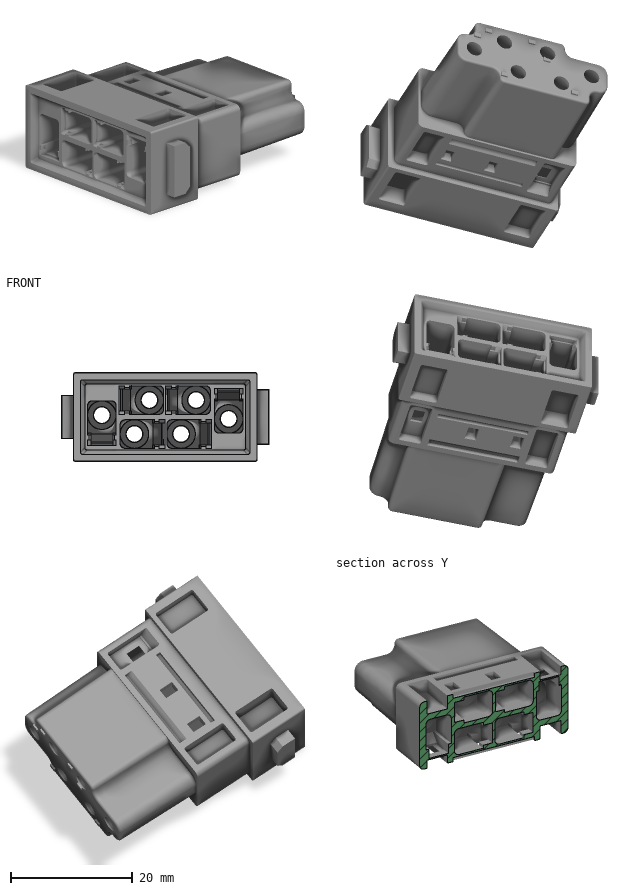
import cadquery as cq

recess_depth = 1.03
collar_end = 10.6
body_end = 21.12
rear_end = 36.5
total_depth = 36.8
pocket_end = 18.4
bore_end = 33.85

collar_width = 30.25
collar_height = 14.6
collar_round = 0.33
body_width = 28.2
body_height = 12.55
body_round = 0.92

key_span = 34.2
key_start = 3.45
key_end = 7.03
key_chamfer = 1.05
left_key_height = 7.1
right_key_height = 9.0

shroud_half_height = 5.65
shroud_draft = 1.0
shroud_edge_round = 0.35
crest_left = -5.0
crest_right = 9.42
crest_radius = 0.77
cove_radius = 1.5
shoulder_radius = 1.65
left_shoulder_z = 3.28
right_shoulder_z = 2.58
shroud_half_width = crest_right + crest_radius + cove_radius + shoulder_radius

recess_width = 27.9
recess_height = 12.3
recess_slope = 0.7
recess_corner_round = 0.45

cell_half = 2.35
cell_corner_round = 0.8
cell_latch_side = 3.28
cell_latch_side_deep = 2.95
contact_bore_radius = 2.35
contact_hole_radius = 1.35
latch_neck_end = 4.1
latch_neck_half = 2.1
latch_slot_end = 4.75
latch_slot_half = 1.8
latch_head_end = 5.0
latch_head_depth = 0.8
latch_ramp_foot = 4.45
latch_ramp_tip = 3.1
row_height = 2.8
row_near = 2.6
row_far = 5.08
side_cell_x = 10.45
side_cell_z = 0.313

relief_inner = 8.85
collar_relief_outer = 13.47
collar_relief_start = 2.17
collar_relief_end = 9.8
body_relief_outer = 12.65
body_relief_start = 12.15
body_relief_end = 20.13
relief_round = 0.35
left_collar_relief_depth = 3.4
right_collar_relief_depth = 1.88
left_body_relief_depth = 2.43
right_body_relief_depth = 1.73
relief_ramp = 1.05
relief_ledge_end = 13.55
relief_ledge_rise = 0.22
groove_length = 15.4
groove_depth = 0.75
front_groove_start = 12.95
front_groove_end = 13.75
rear_groove_start = 18.73
rear_groove_end = 20.13
rear_groove_slope = 0.85
window_width = 1.85
window_start = 14.57
window_end = 17.08
window_floor = 3.68
window_centres = [-6.48, 1.2, 10.45]

mark_width = 1.18
mark_height = 0.75
mark_centres = [(-7.4, -4.25), (-2.43, 1.25), (0.25, 4.15), (5.15, -4.25), (8.0, 4.15), (9.97, 2.6)]


def box(x0, x1, y0, y1, z0, z1):
    return cq.Workplane("XY").box(x1 - x0, y1 - y0, z1 - z0, centered=False).translate((x0, y0, z0))


def centred_block(width, y0, y1, height):
    return box(-width / 2, width / 2, y0, y1, -height / 2, height / 2)


def face_plane(y):
    """Sketch plane facing -Y; extruding by a negative length goes toward the rear."""
    return cq.Workplane("XZ", origin=(0, y, 0))


def half_turn(shape):
    return shape.rotate((0, 0, 0), (0, 1, 0), 180)


def key(side, height):
    profile = (
        cq.Workplane("YZ")
        .rect(key_end - key_start, height)
        .extrude(key_span / 2)
        .faces(">Y")
        .edges("|X")
        .chamfer(key_chamfer)
        .translate((0, (key_start + key_end) / 2, 0))
    )
    return profile if side > 0 else profile.mirror("YZ")


def upper_shroud_path(path, turn):
    """Draw the upper half outline from -X to +X; turn=-1 draws it turned half round."""

    def line(path, x, z):
        return path.lineTo(turn * x, turn * z)

    def convex(path, x, z, radius):
        return path.radiusArc((turn * x, turn * z), radius)

    def concave(path, x, z, radius):
        return path.radiusArc((turn * x, turn * z), -radius)

    left_wall = crest_left - crest_radius
    right_wall = crest_right + crest_radius
    crest_start_z = shroud_half_height - crest_radius
    shoulder_x = shroud_half_width - shoulder_radius

    path = line(path, -shroud_half_width, left_shoulder_z - shoulder_radius)
    path = convex(path, -shoulder_x, left_shoulder_z, shoulder_radius)
    path = line(path, left_wall - cove_radius, left_shoulder_z)
    path = concave(path, left_wall, left_shoulder_z + cove_radius, cove_radius)
    path = line(path, left_wall, crest_start_z)
    path = convex(path, crest_left, shroud_half_height, crest_radius)
    path = line(path, crest_right, shroud_half_height)
    path = convex(path, right_wall, crest_start_z, crest_radius)
    path = line(path, right_wall, right_shoulder_z + cove_radius)
    path = concave(path, shoulder_x, right_shoulder_z, cove_radius)
    return convex(path, shroud_half_width, right_shoulder_z - shoulder_radius, shoulder_radius)


def shroud():
    path = face_plane(rear_end).moveTo(-shroud_half_width, shoulder_radius - right_shoulder_z)
    path = upper_shroud_path(path, 1)
    path = upper_shroud_path(path, -1)
    solid = path.close().extrude(rear_end - body_end, taper=-shroud_draft)
    return solid.faces(">Y").edges().fillet(shroud_edge_round)


def mating_recess():
    recess = (
        face_plane(0)
        .rect(recess_width, recess_height)
        .workplane(offset=-recess_depth)
        .rect(recess_width - 2 * recess_slope, recess_height - 2 * recess_slope)
        .loft()
    )
    return recess.edges("not #Y").fillet(recess_corner_round)


def cell(x, z, turn):
    """Contact cell with its latch slot toward -X, turned about its bore axis."""
    pocket = (
        cq.Workplane("XY")
        .moveTo(cell_half, recess_depth)
        .lineTo(-cell_latch_side, recess_depth)
        .lineTo(-cell_latch_side_deep, pocket_end)
        .lineTo(cell_half, pocket_end)
        .close()
        .extrude(cell_half, both=True)
        .edges("|Y and >X")
        .fillet(cell_corner_round)
    )
    neck = box(
        -latch_neck_end, -cell_latch_side, recess_depth, latch_head_depth + recess_depth,
        -latch_neck_half, latch_neck_half,
    )
    head = (
        face_plane(recess_depth)
        .center(-(latch_neck_end + latch_head_end) / 2, 0)
        .rect(latch_head_end - latch_neck_end, 2 * cell_half)
        .workplane(offset=-latch_head_depth)
        .rect(latch_head_end - latch_neck_end, 2 * latch_slot_half)
        .loft()
    )
    latch_slot = (
        cq.Workplane("XY")
        .moveTo(0, recess_depth)
        .lineTo(-latch_slot_end, recess_depth)
        .lineTo(-latch_slot_end, window_end)
        .lineTo(-latch_ramp_foot, window_end)
        .lineTo(-latch_ramp_tip, pocket_end)
        .lineTo(0, pocket_end)
        .close()
        .extrude(latch_slot_half, both=True)
    )
    bore = face_plane(recess_depth).circle(contact_bore_radius).extrude(recess_depth - bore_end)
    hole = face_plane(recess_depth).circle(contact_hole_radius).extrude(recess_depth - total_depth)
    cutter = pocket.union(neck).union(head).union(latch_slot).union(bore).union(hole)
    return cutter.rotate((0, 0, 0), (0, 1, 0), turn).translate((x, 0, z))


def relief(x0, x1, y0, y1, top, depth):
    return box(x0, x1, y0, y1, top - depth, top).edges("|Z").fillet(relief_round)


def sloped_groove(x0, x1, y0, y1, top, depth, slope):
    """Groove whose front wall leans back over the length slope."""
    return (
        cq.Workplane("YZ")
        .polyline([(y0, top), (y1, top), (y1, top - depth), (y0 + slope, top - depth)])
        .close()
        .extrude(x1 - x0)
        .translate((x0, 0, 0))
    )


def top_reliefs():
    collar_top = collar_height / 2
    body_top = body_height / 2
    half_groove = groove_length / 2
    collar_span = (collar_relief_start, collar_relief_end, collar_top)
    body_span = (body_relief_start, body_relief_end, body_top)
    cuts = relief(-collar_relief_outer, -relief_inner, *collar_span, left_collar_relief_depth)
    cuts = cuts.union(relief(relief_inner, collar_relief_outer, *collar_span, right_collar_relief_depth))
    cuts = cuts.union(relief(-body_relief_outer, -relief_inner, *body_span, left_body_relief_depth))
    ledge_depth = right_body_relief_depth - relief_ledge_rise
    sloped = sloped_groove(relief_inner, body_relief_outer, *body_span, ledge_depth, relief_ramp)
    deep = box(relief_inner, body_relief_outer, relief_ledge_end, body_relief_end,
               body_top - right_body_relief_depth, body_top)
    outline = relief(relief_inner, body_relief_outer, *body_span, right_body_relief_depth)
    cuts = cuts.union(sloped.union(deep).intersect(outline))
    cuts = cuts.union(box(-half_groove, half_groove, front_groove_start, front_groove_end,
                          body_top - groove_depth, body_top))
    cuts = cuts.union(sloped_groove(-half_groove, half_groove, rear_groove_start, rear_groove_end,
                                    body_top, groove_depth, rear_groove_slope))
    for x in window_centres:
        cuts = cuts.union(box(x - window_width / 2, x + window_width / 2, window_start, window_end,
                              window_floor, body_top))
    return cuts


collar = centred_block(collar_width, 0, collar_end, collar_height).edges("|Y").fillet(collar_round)
body = centred_block(body_width, collar_end, body_end, body_height).edges("|Y").fillet(body_round)
result = collar.union(body).union(shroud())
result = result.union(key(-1, left_key_height)).union(key(1, right_key_height))
for x, z in mark_centres:
    mark = centred_block(mark_width, rear_end, total_depth, mark_height).translate((x, 0, z))
    result = result.union(mark)

result = result.cut(mating_recess())
upper_cells = [(-row_near, row_height, 0), (row_far, row_height, 0), (side_cell_x, -side_cell_z, 90)]
for x, z, turn in upper_cells:
    result = result.cut(cell(x, z, turn)).cut(half_turn(cell(x, z, turn)))

reliefs = top_reliefs()
result = result.cut(reliefs).cut(half_turn(reliefs))